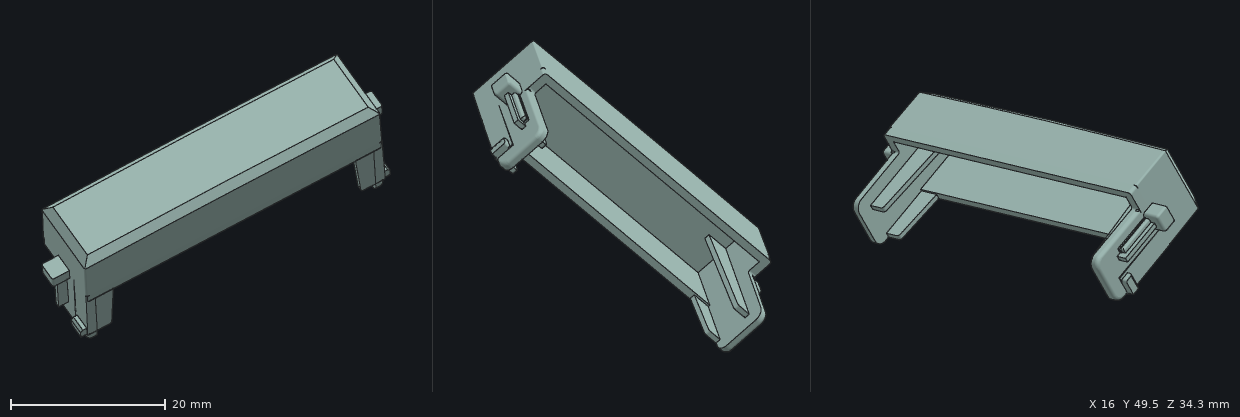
import cadquery as cq
import math

ROLL = 33.4
PITCH = 20.0

LENGTH = 44.8
WIDTH = 11.0
PARTING_HEIGHT = 1.4
DRAFT = 0.5
END_HEIGHT = 9.05
CROWN = 0.25
ARC_BOW = 0.04
TOP_CHAMFER = 1.1
UPPER_CORNER = 0.25
RIM_CORNER = 0.45
WALL = 1.1
ROOF = 1.3
END_WALL = 1.35

LEG_LEFT = -2.4
LEG_BOTTOM = -10.0
LEG_CORNER = 1.4
LEG_EDGE = 0.5
LEG_ROOT = 0.3
PAD_LEFT = 2.35

RIB_THICKNESS = 0.75
RIB_INSET = 0.08
RIB_LEFTS = (-0.5, WIDTH / 2 - RIB_THICKNESS - RIB_INSET)
RIB_BOTTOM = -7.9
RIB_TIP_Y = 18.85
RIB_DRAFT = 4.0
RIB_CORNER = 0.4

HOOK_X = (-1.5, 1.3)
HOOK_Z = (0.05, 2.2)
HOOK_REACH = 2.57
HOOK_EDGE = 0.3
HOOK_NOSE = 0.45
STEM_X = (-0.85, 0.45)
STEM_BOTTOM = -5.7
STEM_REACH = 0.8
STEM_EDGE = 0.25
FOOT_MARGIN = 0.15
FOOT_REACH = 0.2
FIN_X = (-0.25, 0.45)
FIN_BOTTOM = -6.5
FIN_REACH = 1.45
BOSS_X = (2.8, 5.2)
BOSS_Z = (-7.9, -6.45)
BOSS_REACH = 1.0
BOSS_EDGE = 0.35

END_Y = LENGTH / 2
LEG_INNER_Y = END_Y - END_WALL
LEG_TOP = PARTING_HEIGHT
SLOPE = math.tan(math.radians(DRAFT))
MARGIN = 1.0
EDGE_TOLERANCE = 0.05


def box(x_range, y_range, z_range):
    size = [high - low for low, high in (x_range, y_range, z_range)]
    return cq.Workplane("XY").box(*size, centered=False).translate((x_range[0], y_range[0], z_range[0]))


def crowned_block():
    """Wide block whose top is two shallow arcs that rise to a faint ridge at mid-length."""
    arc_y = END_Y / 2
    arc_height = END_HEIGHT + CROWN / 2 + ARC_BOW
    profile = (
        cq.Workplane("YZ")
        .moveTo(-END_Y, 0)
        .lineTo(-END_Y, END_HEIGHT)
        .threePointArc((-arc_y, arc_height), (0, END_HEIGHT + CROWN))
        .threePointArc((arc_y, arc_height), (END_Y, END_HEIGHT))
        .lineTo(END_Y, 0)
        .close()
    )
    return profile.extrude(WIDTH, both=True)


def drafted_rim_block(height):
    """Block from the parting line up (or down, for a negative height), narrowing by the draft."""
    return cq.Workplane("XY", origin=(0, 0, PARTING_HEIGHT)).rect(WIDTH, LENGTH).extrude(height, taper=DRAFT)


def edges_within(x_range, y_range, z_range):
    """Selector for the edges whose centres lie inside the given ranges."""
    low, high = zip(x_range, y_range, z_range)
    return cq.selectors.BoxSelector(low, high)


def make_cover():
    upper = drafted_rim_block(END_HEIGHT).intersect(crowned_block())
    full_width = (-WIDTH, WIDTH)
    full_length = (-LENGTH, LENGTH)
    top_edges = edges_within(full_width, full_length, (END_HEIGHT - CROWN, END_HEIGHT + 2 * CROWN))
    ridge = edges_within(full_width, (-MARGIN, MARGIN), (END_HEIGHT, END_HEIGHT + 2 * CROWN))
    upper = upper.edges(top_edges - ridge).chamfer(TOP_CHAMFER)
    corner_middle = (PARTING_HEIGHT + END_HEIGHT - TOP_CHAMFER) / 2
    corner_posts = edges_within(full_width, full_length, (corner_middle - MARGIN, corner_middle + MARGIN))
    upper = upper.edges(corner_posts).fillet(UPPER_CORNER)
    rim = drafted_rim_block(-PARTING_HEIGHT).edges("not(#Z)").fillet(RIM_CORNER)
    return upper.union(rim)


def make_cavity():
    half_width = WIDTH / 2 - WALL
    return box((-half_width, half_width), (-LEG_INNER_Y, LEG_INNER_Y), (-MARGIN, END_HEIGHT - ROOF))


def leg_slab(left, bottom, lean):
    """Slab from the parting line down, its outer face leaning by `lean` and its right side inset."""
    drop = LEG_TOP - bottom
    section = [
        (LEG_INNER_Y, LEG_TOP),
        (END_Y, LEG_TOP),
        (END_Y + lean * drop, bottom),
        (LEG_INNER_Y, bottom),
    ]
    right = WIDTH / 2 - SLOPE * drop
    return cq.Workplane("YZ", origin=(left, 0, 0)).polyline(section).close().extrude(right - left)


def make_leg_plate():
    """Plate that leans inward as it goes down, with a rounded outer edge."""
    plate = leg_slab(LEG_LEFT, LEG_BOTTOM, -SLOPE)
    plate = plate.edges("|Y and <Z").fillet(LEG_CORNER)
    outer_bottom_y = END_Y - SLOPE * (LEG_TOP - LEG_BOTTOM)
    outer_edge = edges_within(
        (LEG_LEFT - MARGIN, WIDTH / 2 - LEG_CORNER),
        (outer_bottom_y - EDGE_TOLERANCE, END_Y + MARGIN),
        (LEG_BOTTOM - MARGIN, 0),
    )
    return plate.edges(outer_edge).fillet(LEG_EDGE)


def make_leg_root():
    """Inside corner fillet between the rim and the left edge of the leg."""
    square = box((LEG_LEFT - LEG_ROOT, LEG_LEFT), (LEG_INNER_Y, END_Y), (-LEG_ROOT, 0))
    bore = cq.Workplane("XZ", origin=(LEG_LEFT - LEG_ROOT, 0, -LEG_ROOT)).circle(LEG_ROOT).extrude(-LENGTH)
    return square.cut(bore)


def make_pad():
    """Right part of the leg's outer face, which leans outward as it goes down."""
    return leg_slab(PAD_LEFT, BOSS_Z[0], SLOPE)


def make_rib(left):
    roof_z = END_HEIGHT - ROOF
    top_y = RIB_TIP_Y - (roof_z - RIB_BOTTOM) * math.tan(math.radians(RIB_DRAFT))
    rib = (
        cq.Workplane("YZ", origin=(left, 0, 0))
        .moveTo(LEG_INNER_Y, roof_z)
        .lineTo(top_y, roof_z)
        .lineTo(RIB_TIP_Y, RIB_BOTTOM)
        .lineTo(LEG_INNER_Y, RIB_BOTTOM)
        .close()
        .extrude(RIB_THICKNESS)
    )
    return rib.faces("<Z").edges("<Y").fillet(RIB_CORNER)


def make_hook():
    hook = box(HOOK_X, (LEG_INNER_Y, END_Y + HOOK_REACH), HOOK_Z)
    hook = hook.edges("|Z and >Y").fillet(HOOK_EDGE)
    return hook.faces("<Z").edges("|X and >Y").fillet(HOOK_NOSE)


def make_stem():
    """Stepped rail that runs down from the hook."""
    stem_top = (HOOK_Z[0] + HOOK_Z[1]) / 2
    foot = box(
        (STEM_X[0] - FOOT_MARGIN, STEM_X[1]),
        (LEG_INNER_Y, END_Y + FOOT_REACH),
        (STEM_BOTTOM - FOOT_MARGIN, stem_top),
    )
    base = box(STEM_X, (LEG_INNER_Y, END_Y + STEM_REACH), (STEM_BOTTOM, stem_top))
    base = base.faces("<X").edges(">Y or <Z").fillet(STEM_EDGE)
    fin = box(FIN_X, (LEG_INNER_Y, END_Y + FIN_REACH), (FIN_BOTTOM, stem_top))
    return foot.union(base).union(fin)


def make_boss():
    boss = box(BOSS_X, (LEG_INNER_Y, END_Y + BOSS_REACH), BOSS_Z)
    boss = boss.faces("<Z").edges("<X").fillet(BOSS_EDGE)
    return boss.faces(">Z").edges(">Y").chamfer(BOSS_EDGE)


def make_clip():
    """Everything that hangs from the cover at its +Y end."""
    parts = [make_leg_root(), make_pad(), make_hook(), make_stem(), make_boss()]
    parts += [make_rib(left) for left in RIB_LEFTS]
    clip = make_leg_plate()
    for part in parts:
        clip = clip.union(part)
    return clip


def make_part():
    clip = make_clip()
    cover = make_cover().cut(make_cavity())
    part = cover.union(clip).union(clip.mirror("XZ"))
    return part.rotate((0, 0, 0), (0, 1, 0), ROLL).rotate((0, 0, 0), (1, 0, 0), PITCH)


result = make_part()